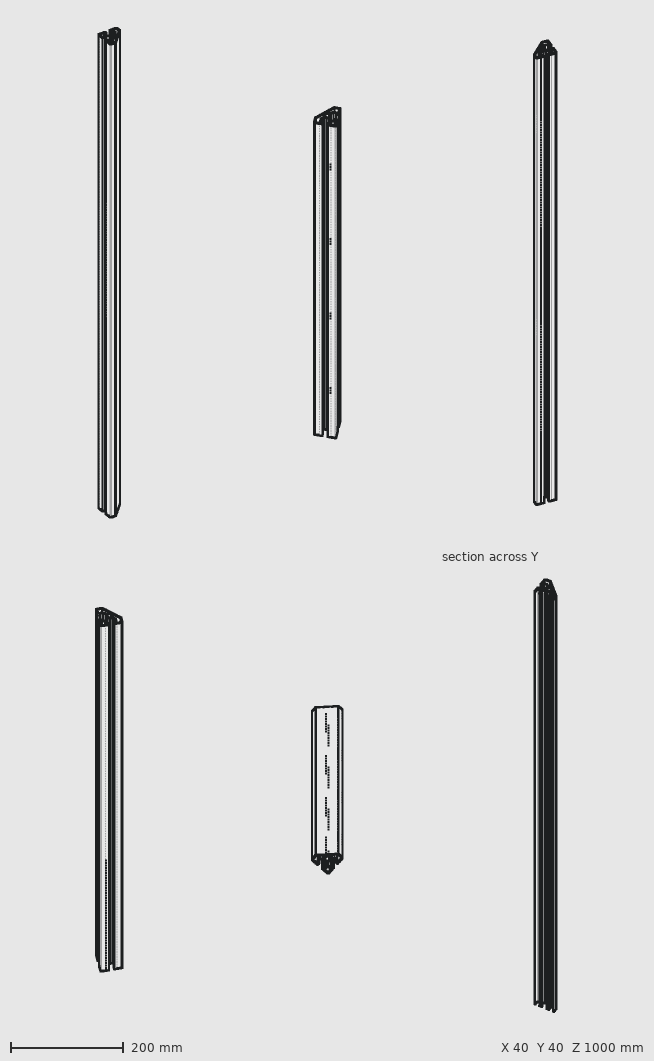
import cadquery as cq
import math


SIDE = 40.0
LENGTH = 1000.0
CORNER_CUT = 28.6
CORNER_RADIUS = 2.0

SLOT_OPENING = 9.6
LIP_THICKNESS = 5.0
SLOT_WIDTH = 17.2
FLOOR_WIDTH = 9.2
FLOOR_TO_AXIS = 5.5
RIDGE_WIDTH = 3.8
RIDGE_SLOPE = 0.25

OUTER_WALL = 1.9
SLOPE_WALL = 1.7
SLOT_WEB = 1.2
CORE_HALF_WIDTH = 6.1
CHAMBER_RADIUS = 0.5
BORE_DIAMETER = 8.0

HALF = SIDE / 2
CUT_END = HALF - CORNER_CUT
CHAMBER_OUTER = HALF - OUTER_WALL
CHAMBER_INNER = SLOT_WIDTH / 2 + SLOT_WEB


def prism(points):
    """Full-length prism over a closed outline."""
    return cq.Workplane("XY").polyline(points).close().extrude(LENGTH)


def mirrored(points):
    """Outline reflected across the symmetry line x = y."""
    return [(y, x) for x, y in points]


def outer_body():
    """Square bar with one corner cut off and the other three rounded."""
    outline = [(-HALF, -HALF), (HALF, -HALF), (HALF, CUT_END), (CUT_END, HALF), (-HALF, HALF)]
    body = prism(outline)
    square_corners = body.edges("|Z and (<X or <Y)")
    return square_corners.fillet(CORNER_RADIUS)


def slot_outline():
    """T-slot open to the -Y side."""
    lip_y = -HALF + LIP_THICKNESS
    floor_y = -FLOOR_TO_AXIS
    taper = (SLOT_WIDTH - FLOOR_WIDTH) / 2
    ridge_top = (0, floor_y - RIDGE_SLOPE * RIDGE_WIDTH / 2)
    right_side = [
        (SLOT_OPENING / 2, -HALF),
        (SLOT_OPENING / 2, lip_y),
        (SLOT_WIDTH / 2, lip_y),
        (SLOT_WIDTH / 2, floor_y - taper),
        (FLOOR_WIDTH / 2, floor_y),
        (RIDGE_WIDTH / 2, floor_y),
    ]
    left_side = [(-x, y) for x, y in reversed(right_side)]
    return right_side + [ridge_top] + left_side


def corner_chamber():
    """Square chamber in the -X -Y corner."""
    size = CHAMBER_OUTER - CHAMBER_INNER
    middle = -(CHAMBER_OUTER + CHAMBER_INNER) / 2
    chamber = cq.Workplane("XY").center(middle, middle).rect(size, size).extrude(LENGTH)
    return chamber.edges("|Z").fillet(CHAMBER_RADIUS)


def end_chamber_outline():
    """Chamber between the -Y slot, the +X side and the sloping wall."""
    slope_sum = SIDE - CORNER_CUT - SLOPE_WALL * math.sqrt(2)
    web_sum = FLOOR_WIDTH / 2 - FLOOR_TO_AXIS + SLOT_WEB * math.sqrt(2)
    return [
        (CHAMBER_INNER, -CHAMBER_OUTER),
        (CHAMBER_OUTER, -CHAMBER_OUTER),
        (CHAMBER_OUTER, slope_sum - CHAMBER_OUTER),
        (CORE_HALF_WIDTH, slope_sum - CORE_HALF_WIDTH),
        (CORE_HALF_WIDTH, web_sum - CORE_HALF_WIDTH),
        (CHAMBER_INNER, web_sum - CHAMBER_INNER),
    ]


def end_chamber(outline, base_side):
    """End chamber with rounded corners along its base, the face on base_side."""
    return prism(outline).faces(base_side).edges("|Z").fillet(CHAMBER_RADIUS)


def bore():
    return cq.Workplane("XY").circle(BORE_DIAMETER / 2).extrude(LENGTH)


cutters = [
    prism(slot_outline()),
    prism(mirrored(slot_outline())),
    corner_chamber(),
    end_chamber(end_chamber_outline(), "<Y"),
    end_chamber(mirrored(end_chamber_outline()), "<X"),
    bore(),
]

result = outer_body()
for cutter in cutters:
    result = result.cut(cutter)